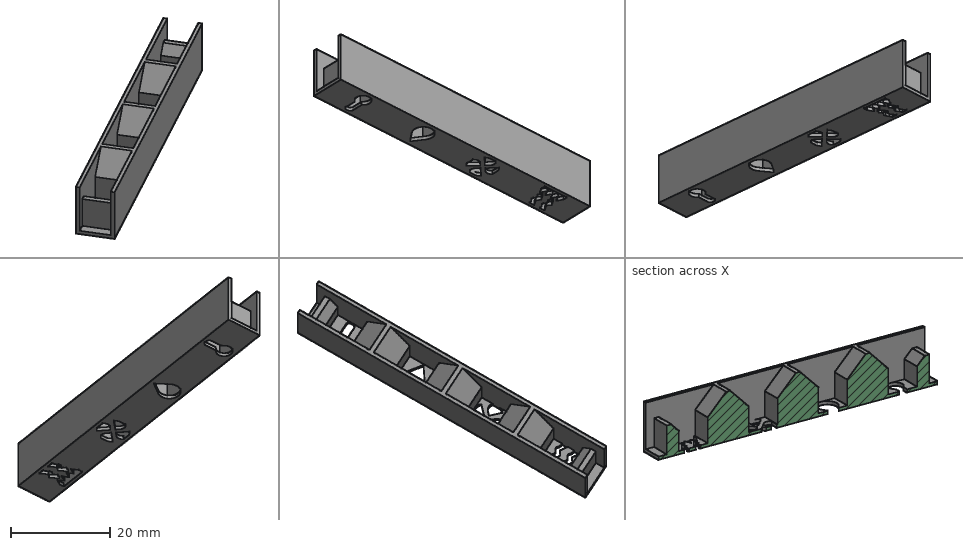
import cadquery as cq
import math

length = 68.1
width = 8.1
height = 11.0
wall = 0.8
floor = 0.8
inner_width = width - 2 * wall
half_inner = inner_width / 2

bay_count = 4
bay_pitch = length / bay_count
bay_floor_length = 6.95
bay_centers = [(i - (bay_count - 1) / 2) * bay_pitch for i in range(bay_count)]

opening_offset = -0.15
keyhole_y, drop_y, fan_y, jaw_y = [y + opening_offset for y in bay_centers]

crest_width = 1.0
divider_base = bay_pitch - bay_floor_length
divider_shoulder = height - (divider_base - crest_width) / 2

end_inset = 2.0
end_top_width = 1.15
end_block_top = 7.15
end_block_inner = length / 2 - (bay_pitch - bay_floor_length) / 2
end_block_outer = length / 2 - end_inset
end_slope_start = end_block_outer - end_top_width
end_shoulder = end_block_top - (end_slope_start - end_block_inner)


def make_channel():
    body = cq.Workplane("XY").box(width, length, height, centered=(True, True, False))
    trough = cq.Workplane("XY").workplane(offset=floor).box(
        inner_width, length, height, centered=(True, True, False)
    )
    return body.cut(trough)


def across_channel(points):
    """Extrude a (Y, Z) outline across the full channel width."""
    return cq.Workplane("YZ").polyline(points).close().extrude(width / 2, both=True)


def make_divider(y):
    half_base = divider_base / 2
    half_crest = crest_width / 2
    return across_channel([
        (y - half_base, 0),
        (y - half_base, divider_shoulder),
        (y - half_crest, height),
        (y + half_crest, height),
        (y + half_base, divider_shoulder),
        (y + half_base, 0),
    ])


def make_end_block(side):
    return across_channel([
        (side * end_block_inner, 0),
        (side * end_block_inner, end_shoulder),
        (side * end_slope_start, end_block_top),
        (side * end_block_outer, end_block_top),
        (side * end_block_outer, 0),
    ])


def floor_sketch(y):
    return cq.Workplane("XY").center(0, y)


def make_keyhole():
    bow_radius = 1.7
    bow_x = half_inner - bow_radius
    blade_width = 1.85
    blade_corner = 0.75
    blade_length = bow_x + half_inner
    bow = floor_sketch(keyhole_y).center(bow_x, 0).circle(bow_radius).extrude(floor)
    blade = (
        floor_sketch(keyhole_y)
        .center(bow_x - blade_length / 2, 0)
        .rect(blade_length, blade_width)
        .extrude(floor)
        .edges("|Z and <X")
        .fillet(blade_corner)
    )
    return bow.union(blade)


def make_drop():
    radius = 2.3
    center_x = half_inner - radius
    tip_x = -3.05
    tangent_angle = math.acos(radius / (center_x - tip_x))
    tangent_x = center_x - radius * math.cos(tangent_angle)
    tangent_y = radius * math.sin(tangent_angle)
    return (
        floor_sketch(drop_y)
        .moveTo(tip_x, 0)
        .lineTo(tangent_x, tangent_y)
        .threePointArc((center_x + radius, 0), (tangent_x, -tangent_y))
        .close()
        .extrude(floor)
    )


def make_fan():
    hub_offset = 0.7
    tip = (2.0, 2.65)
    shoulder = (1.6, 3.0)
    rim_start = (0.95, half_inner)
    rim_end = (-0.6, half_inner)
    bulge = (-1.1, 2.3)
    root = (-0.8, 1.5)
    blade = (
        cq.Workplane("XY")
        .moveTo(0, hub_offset)
        .lineTo(*tip)
        .threePointArc(shoulder, rim_start)
        .lineTo(*rim_end)
        .threePointArc(bulge, root)
        .close()
        .extrude(floor)
    )
    blade_count = 4
    fan = blade
    for i in range(1, blade_count):
        fan = fan.union(blade.rotate((0, 0, 0), (0, 0, 1), i * 360 / blade_count))
    return fan.translate((0, fan_y, 0))


def make_toothed_opening():
    tooth_pitch = 1.5
    gap_x = 0.9
    tip_x = 2.25
    gap_count = 4
    half_height = gap_count * tooth_pitch / 2
    points = [(half_inner, -half_height), (tip_x, -half_height)]
    for i in range(gap_count):
        y = i * tooth_pitch - half_height
        points.append((gap_x, y + tooth_pitch / 2))
        points.append((tip_x, y + tooth_pitch))
    points.append((half_inner, half_height))
    return floor_sketch(jaw_y).polyline(points).close().extrude(floor)


def make_wavy_slot(shift):
    upper_edge = [(-half_inner, 2.85), (-1.7, 1.9), (-0.9, 2.6), (-0.35, 2.3), (0.9, 1.5)]
    lower_edge = [
        (0.6, 1.1), (0.3, 1.1), (-0.1, 0.9), (-0.55, 1.3), (-1.0, 1.35),
        (-1.5, 0.95), (-2.0, 0.95), (-2.6, 1.4), (-half_inner, 1.6),
    ]
    return floor_sketch(jaw_y + shift).polyline(upper_edge + lower_edge).close().extrude(floor)


result = make_channel()

for i in range(bay_count - 1):
    result = result.union(make_divider((bay_centers[i] + bay_centers[i + 1]) / 2))
for side in (-1, 1):
    result = result.union(make_end_block(side))

wavy_slot_spacing = 2.85
openings = [make_keyhole(), make_drop(), make_fan(), make_toothed_opening()]
openings += [make_wavy_slot(-i * wavy_slot_spacing) for i in range(2)]
for opening in openings:
    result = result.cut(opening)